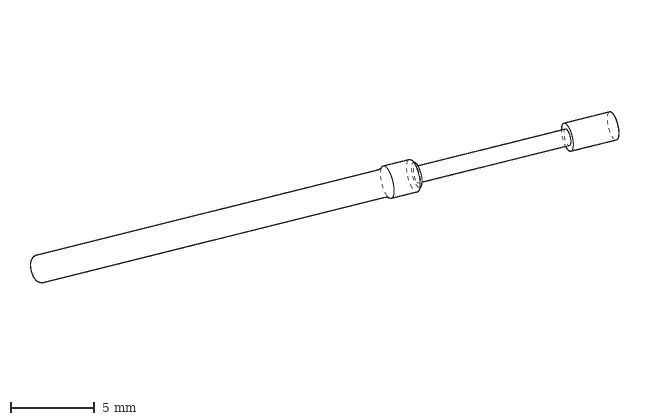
import cadquery as cq

total_length = 37.8
head_diameter = 1.75
head_length = 3.0
rod_diameter = 1.02
rod_length = 9.83
collar_diameter = 2.0
collar_length = 1.93
collar_chamfer = 0.23
flare_length = 0.4
barrel_diameter = 1.7
barrel_end_radius = 0.4

collar_step = (collar_diameter - barrel_diameter) / 2
flare_radius = (flare_length**2 + collar_step**2) / (2 * collar_step)

barrel_end = -total_length / 2
head_end = total_length / 2
head_start = head_end - head_length
collar_end = head_start - rod_length
collar_start = collar_end - collar_length
flare_start = collar_start - flare_length


def cylinder(diameter, y_start, y_end):
    """Solid cylinder on the Y axis between two stations."""
    base = cq.Workplane("XZ", origin=(0, y_start, 0))
    return base.circle(diameter / 2).extrude(y_start - y_end)


barrel = cylinder(barrel_diameter, barrel_end, flare_start)
barrel = barrel.faces("<Y").edges().fillet(barrel_end_radius)

collar = cylinder(collar_diameter, collar_start, collar_end)
collar = collar.faces(">Y").edges().chamfer(collar_chamfer)

flare = (
    cq.Workplane("XY")
    .moveTo(0, flare_start)
    .lineTo(barrel_diameter / 2, flare_start)
    .radiusArc((collar_diameter / 2, collar_start), flare_radius)
    .lineTo(0, collar_start)
    .close()
    .revolve(360, (0, 0, 0), (0, 1, 0))
)

rod = cylinder(rod_diameter, collar_end, head_start)
head = cylinder(head_diameter, head_start, head_end)

result = barrel.union(flare).union(collar).union(rod).union(head)